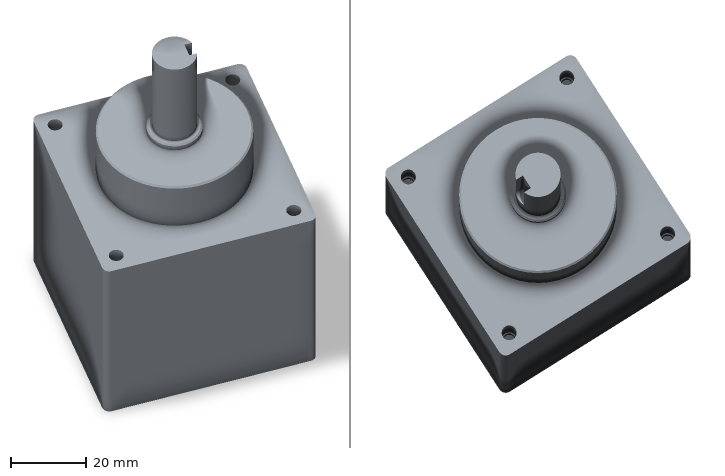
import cadquery as cq

overall_height = 100.0
flange_width = 60.0
corner_radius = 2.0

base_height = 15.0
housing_height = 40.0
boss_height = 15.0
collar_height = 2.0

boss_diameter = 42.0
collar_diameter = 15.0
shaft_diameter = 12.0
boss_chamfer = 0.5
collar_chamfer = 0.5

keyway_width = 4.0
keyway_depth = 2.5
keyway_length = 20.0

hole_spacing = 50.0
hole_diameter = 4.0
hole_depth = 10.0
core_diameter = 3.3
core_depth = 12.0

housing_top = base_height + housing_height
boss_top = housing_top + boss_height
collar_top = boss_top + collar_height


def square_block(bottom, height):
    """Square block with rounded vertical corners, standing on the level `bottom`."""
    return (
        cq.Workplane("XY", origin=(0, 0, bottom))
        .rect(flange_width, flange_width)
        .extrude(height)
        .edges("|Z")
        .fillet(corner_radius)
    )


def round_step(bottom, height, diameter):
    """Cylinder on the Z axis, standing on the level `bottom`."""
    return cq.Workplane("XY", origin=(0, 0, bottom)).circle(diameter / 2).extrude(height)


def keyway_cutter():
    """Keyway slot with a half-round lower end, running out through the shaft end."""
    floor_y = shaft_diameter / 2 - keyway_depth
    half_width = keyway_width / 2
    keyway_bottom = overall_height - keyway_length
    arc_center_z = keyway_bottom + half_width
    return (
        cq.Workplane("XZ", origin=(0, floor_y, 0))
        .moveTo(-half_width, overall_height)
        .lineTo(-half_width, arc_center_z)
        .threePointArc((0, keyway_bottom), (half_width, arc_center_z))
        .lineTo(half_width, overall_height)
        .close()
        .extrude(-keyway_depth)
    )


def cut_mounting_holes(body):
    """Drill the four blind holes, each narrowing near its floor, into the top face of `body`."""
    return (
        body.faces(">Z")
        .workplane(origin=(0, 0, housing_top))
        .rect(hole_spacing, hole_spacing, forConstruction=True)
        .vertices()
        .cboreHole(core_diameter, hole_diameter, hole_depth, core_depth)
    )


def make_base():
    """Input-side plate below the housing."""
    return square_block(0, base_height)


def make_gearbox():
    """Housing with its boss, collar and keyed output shaft."""
    housing = cut_mounting_holes(square_block(base_height, housing_height))
    boss = round_step(housing_top, boss_height, boss_diameter).faces(">Z").chamfer(boss_chamfer)
    collar = round_step(boss_top, collar_height, collar_diameter).faces(">Z").chamfer(collar_chamfer)
    shaft = round_step(collar_top, overall_height - collar_top, shaft_diameter).cut(keyway_cutter())
    return housing.union(boss).union(collar).union(shaft)


base = make_base()
gearbox = make_gearbox()

result = cq.Compound.makeCompound([base.val(), gearbox.val()])